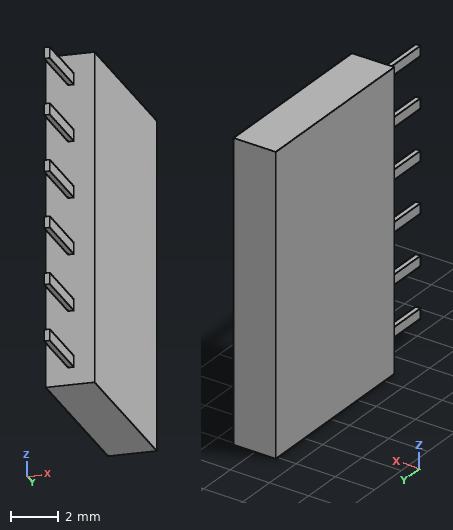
import cadquery as cq

body_width = 2.17
body_height = 14.83
overall_depth = 12.32
pin_length = 3.44
body_depth = overall_depth - pin_length

pin_count = 6
pin_pitch = 2.54
pin_width = 0.25
pin_height = 0.5
pin_row_offset_x = 0.05
pin_row_offset_z = -0.05


def make_body():
    """Plain block with its -Y face on the plane Y = 0."""
    return cq.Workplane("XY").box(
        body_width, body_depth, body_height, centered=(True, False, True)
    )


def make_pin(center_z):
    """Straight pin running from the block toward -Y."""
    pin = cq.Workplane("XY").box(
        pin_width, pin_length, pin_height, centered=(True, False, True)
    )
    return pin.translate((pin_row_offset_x, -pin_length, center_z))


result = make_body()
first_pin_z = pin_row_offset_z - pin_pitch * (pin_count - 1) / 2
for index in range(pin_count):
    result = result.union(make_pin(first_pin_z + index * pin_pitch))